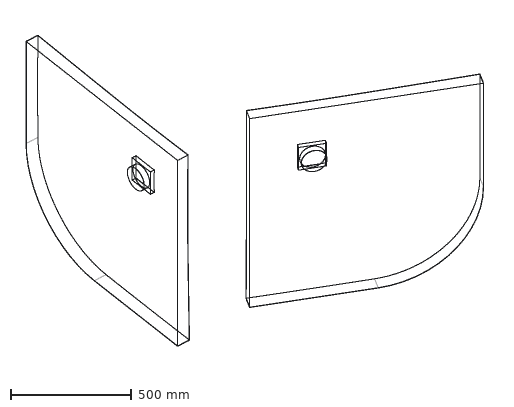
import math

import cadquery as cq

side = 1000.0
rim_height = 64.55
corner_radius = 450.0

drain_center = 723.5
outlet_diameter = 110.0
recess_width = 120.0
recess_floor_height = 30.0

fall_slope = 0.0185


def make_slab():
    """Square slab with the corner farthest from the drain rounded."""
    slab = cq.Workplane("XY").box(side, rim_height, side, centered=False)
    return slab.edges("<X and <Z").fillet(corner_radius)


def make_fall():
    """Shallow cone centred on the drain; its rim touches the middle of the rounded corner."""
    center_offset = math.sqrt(2) * (drain_center - corner_radius)
    rim_radius = center_offset + corner_radius
    drop = fall_slope * rim_radius
    tip = cq.Vector(drain_center, rim_height - drop, drain_center)
    return cq.Workplane(cq.Solid.makeCone(0, rim_radius, drop, tip, cq.Vector(0, 1, 0)))


def make_recess():
    """Square pocket around the drain, open towards the wet surface."""
    depth = rim_height - recess_floor_height
    center_height = recess_floor_height + depth / 2
    pocket = cq.Workplane("XY").box(recess_width, depth, recess_width)
    return pocket.translate((drain_center, center_height, drain_center))


def make_outlet():
    """Round outlet through the whole thickness."""
    start = cq.Vector(drain_center, 0, drain_center)
    axis = cq.Vector(0, 1, 0)
    return cq.Workplane(cq.Solid.makeCylinder(outlet_diameter / 2, rim_height, start, axis))


result = make_slab().cut(make_fall()).cut(make_recess()).cut(make_outlet())